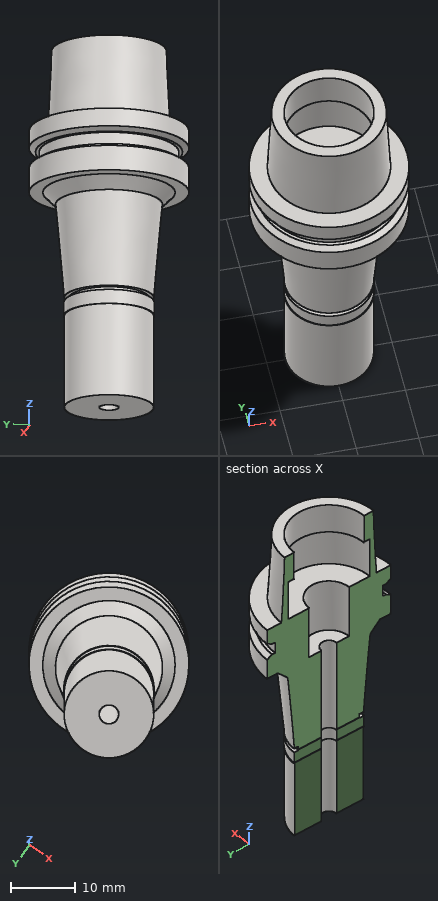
import cadquery as cq

TOTAL_HEIGHT = 58.0
NOSE_SLEEVE_TOP = 14.85
RING_TOP = 17.1
NECK_TOP = 17.8
TAPER_TOP = 33.0
FLANGE_BOTTOM = 35.0
FLANGE_TOP = 45.0

FLANGE_RADIUS = 25.0 / 2
SHANK_BASE_RADIUS = 9.6
SHANK_TIP_RADIUS = 9.0
TAPER_TOP_RADIUS = 8.35
TAPER_BOTTOM_RADIUS = 7.0
SHOULDER_RADIUS = TAPER_TOP_RADIUS + (FLANGE_BOTTOM - TAPER_TOP)
NECK_RADIUS = 6.2
RING_RADIUS = 7.1
NOSE_SLEEVE_RADIUS = 14.0 / 2

GROOVE_CENTRE = 40.55
GROOVE_WIDTH = 2.05
GROOVE_FLOOR_RADIUS = 10.9
GROOVE_CHAMFER_RADIUS = 11.5
GROOVE_CHAMFER_HEIGHT = 0.6

MOUTH_RADIUS = 7.0
MOUTH_DEPTH = 5.5
UNDERCUT_RADIUS = 8.2
UNDERCUT_FLOOR = FLANGE_TOP
COUNTERBORE_RADIUS = 4.0
COUNTERBORE_FLOOR = FLANGE_BOTTOM
THROUGH_RADIUS = 1.5


def cylinder(radius, bottom, top):
    """Solid cylinder on the Z axis between two heights."""
    return cq.Workplane("XY").workplane(offset=bottom).circle(radius).extrude(top - bottom)


def tube(radius, bottom, top):
    """Cylinder on the Z axis pierced by the through hole."""
    return cylinder(radius, bottom, top).cut(cylinder(THROUGH_RADIUS, bottom, top))


def revolve_profile(points):
    """Turn a closed (radius, height) outline about the Z axis."""
    return cq.Workplane("XZ").polyline(points).close().revolve(360, (0, 0, 0), (0, 1, 0))


def holder_blank():
    """Outside of the holder: neck, taper, shoulder cone, flange and conical shank."""
    return revolve_profile([
        (0, RING_TOP),
        (NECK_RADIUS, RING_TOP),
        (NECK_RADIUS, NECK_TOP),
        (TAPER_BOTTOM_RADIUS, NECK_TOP),
        (TAPER_TOP_RADIUS, TAPER_TOP),
        (SHOULDER_RADIUS, FLANGE_BOTTOM),
        (FLANGE_RADIUS, FLANGE_BOTTOM),
        (FLANGE_RADIUS, FLANGE_TOP),
        (SHANK_BASE_RADIUS, FLANGE_TOP),
        (SHANK_TIP_RADIUS, TOTAL_HEIGHT),
        (0, TOTAL_HEIGHT),
    ])


def gripper_groove():
    """Ring of material removed from the flange: a flat groove with flared edges."""
    lower_edge = GROOVE_CENTRE - GROOVE_WIDTH / 2
    upper_edge = GROOVE_CENTRE + GROOVE_WIDTH / 2
    return revolve_profile([
        (GROOVE_FLOOR_RADIUS, lower_edge),
        (GROOVE_CHAMFER_RADIUS, lower_edge),
        (FLANGE_RADIUS, lower_edge - GROOVE_CHAMFER_HEIGHT),
        (FLANGE_RADIUS, upper_edge + GROOVE_CHAMFER_HEIGHT),
        (GROOVE_CHAMFER_RADIUS, upper_edge),
        (GROOVE_FLOOR_RADIUS, upper_edge),
    ])


def shank_socket():
    """Stepped cavity in the shank: mouth, wider undercut, counterbore and through hole."""
    undercut_top = TOTAL_HEIGHT - MOUTH_DEPTH
    return revolve_profile([
        (0, RING_TOP),
        (THROUGH_RADIUS, RING_TOP),
        (THROUGH_RADIUS, COUNTERBORE_FLOOR),
        (COUNTERBORE_RADIUS, COUNTERBORE_FLOOR),
        (COUNTERBORE_RADIUS, UNDERCUT_FLOOR),
        (UNDERCUT_RADIUS, UNDERCUT_FLOOR),
        (UNDERCUT_RADIUS, undercut_top),
        (MOUTH_RADIUS, undercut_top),
        (MOUTH_RADIUS, TOTAL_HEIGHT),
        (0, TOTAL_HEIGHT),
    ])


holder = holder_blank().cut(gripper_groove()).cut(shank_socket())
ring = tube(RING_RADIUS, NOSE_SLEEVE_TOP, RING_TOP)
nose_sleeve = tube(NOSE_SLEEVE_RADIUS, 0, NOSE_SLEEVE_TOP)

result = cq.Compound.makeCompound([holder.val(), ring.val(), nose_sleeve.val()])